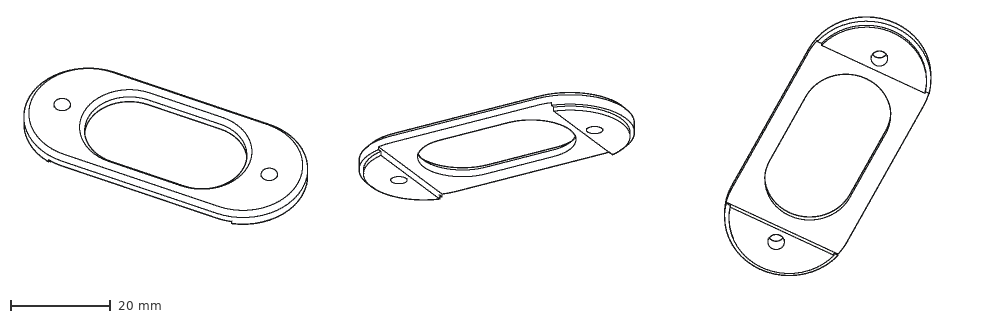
import cadquery as cq

length = 60.0
width = 26.0
height = 4.0
plate_thickness = 2.5
edge_chamfer = 1.0

foot_gap = 40.2
rim_depth = 3.1
step_inset = 0.9

opening_length = 33.95
opening_width = 18.0

hole_diameter = 3.3
hole_spacing = 45.55


def slot_prism(slot_length, slot_width, bottom, top):
    """Upright prism with straight sides and semicircular ends."""
    return (
        cq.Workplane("XY")
        .workplane(offset=bottom)
        .slot2D(slot_length, slot_width)
        .extrude(top - bottom)
    )


rim_bottom = height - rim_depth
body = slot_prism(length, width, rim_bottom, height).faces(">Z").chamfer(edge_chamfer)
step = slot_prism(length - 2 * step_inset, width - 2 * step_inset, 0, rim_bottom)
body = body.union(step)

gap_height = height - plate_thickness
gap = cq.Workplane("XY").box(foot_gap, width, gap_height, centered=(True, True, False))
body = body.cut(gap)

opening = slot_prism(opening_length, opening_width, 0, height)
countersink = (
    cq.Workplane("XY")
    .workplane(offset=height)
    .slot2D(opening_length + 2 * edge_chamfer, opening_width + 2 * edge_chamfer)
    .extrude(-edge_chamfer, taper=45)
)
body = body.cut(opening).cut(countersink)

holes = (
    cq.Workplane("XY")
    .pushPoints([(-hole_spacing / 2, 0), (hole_spacing / 2, 0)])
    .circle(hole_diameter / 2)
    .extrude(height)
)
result = body.cut(holes)